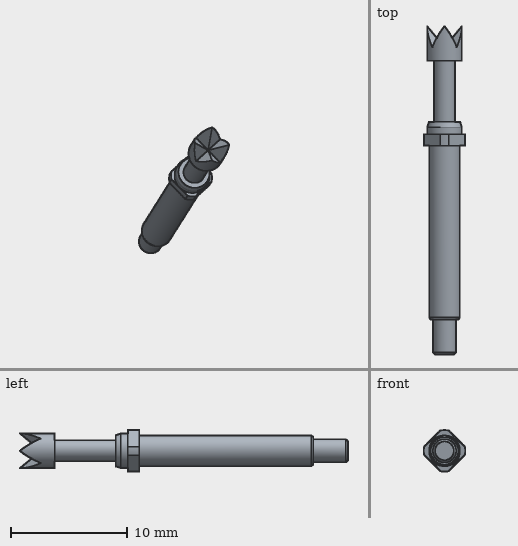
import cadquery as cq
import math

total_length = 28.3
crown_tip_y = total_length / 2
tail_end_y = -total_length / 2

crown_diameter = 3.0
crown_length = 3.0
groove_depth = 1.8
tooth_count = 4

plunger_diameter = 1.85
plunger_length = 5.25
collar_diameter = 3.0
collar_length = 1.05
collar_nose_diameter = 2.72
collar_nose_length = 0.45
flange_corner_diameter = 3.6
flange_across_flats = 3.0
flange_length = 1.0
barrel_diameter = 2.65
barrel_chamfer_length = 0.2
barrel_chamfer_depth = 0.15
tail_diameter = 2.0
tail_length = 3.0
tail_chamfer = 0.2

crown_base_y = crown_tip_y - crown_length
collar_front_y = crown_base_y - plunger_length
flange_front_y = collar_front_y - collar_length
flange_back_y = flange_front_y - flange_length
barrel_end_y = tail_end_y + tail_length


def make_turned_body():
    """Revolve the half profile of every round section about the Y axis."""
    crown_radius = crown_diameter / 2
    plunger_radius = plunger_diameter / 2
    collar_radius = collar_diameter / 2
    barrel_radius = barrel_diameter / 2
    tail_radius = tail_diameter / 2
    half_profile = [
        (0, crown_tip_y),
        (crown_radius, crown_tip_y),
        (crown_radius, crown_base_y),
        (plunger_radius, crown_base_y),
        (plunger_radius, collar_front_y),
        (collar_nose_diameter / 2, collar_front_y),
        (collar_radius, collar_front_y - collar_nose_length),
        (collar_radius, flange_front_y),
        (barrel_radius, flange_front_y),
        (barrel_radius, barrel_end_y + barrel_chamfer_length),
        (barrel_radius - barrel_chamfer_depth, barrel_end_y),
        (tail_radius, barrel_end_y),
        (tail_radius, tail_end_y + tail_chamfer),
        (tail_radius - tail_chamfer, tail_end_y),
        (0, tail_end_y),
    ]
    return cq.Workplane("XY").polyline(half_profile).close().revolve(360, (0, 0, 0), (0, 1, 0))


def make_flange():
    """Round disc trimmed by four flats set at 45 degrees to X and Z."""
    flange_centre = (0, (flange_front_y + flange_back_y) / 2, 0)
    disc = (
        cq.Workplane("XZ", origin=(0, flange_front_y, 0))
        .circle(flange_corner_diameter / 2)
        .extrude(flange_length)
    )
    square = (
        cq.Workplane("XY")
        .box(flange_across_flats, flange_length, flange_across_flats)
        .rotate((0, 0, 0), (0, 1, 0), 45)
        .translate(flange_centre)
    )
    return disc.intersect(square)


def make_tooth_groove(angle):
    """V groove across the crown, its root crossing the axis at the given angle."""
    half_width = crown_diameter / 2 * math.sin(math.pi / tooth_count)
    overshoot = 2
    wedge = [
        (0, crown_tip_y - groove_depth),
        (overshoot * half_width, crown_tip_y + (overshoot - 1) * groove_depth),
        (-overshoot * half_width, crown_tip_y + (overshoot - 1) * groove_depth),
    ]
    return (
        cq.Workplane("XY")
        .polyline(wedge)
        .close()
        .extrude(crown_diameter, both=True)
        .rotate((0, 0, 0), (0, 1, 0), angle)
    )


result = make_turned_body().union(make_flange())

groove_count = tooth_count // 2
for index in range(groove_count):
    groove_angle = 180 / tooth_count + index * 180 / groove_count
    result = result.cut(make_tooth_groove(groove_angle))